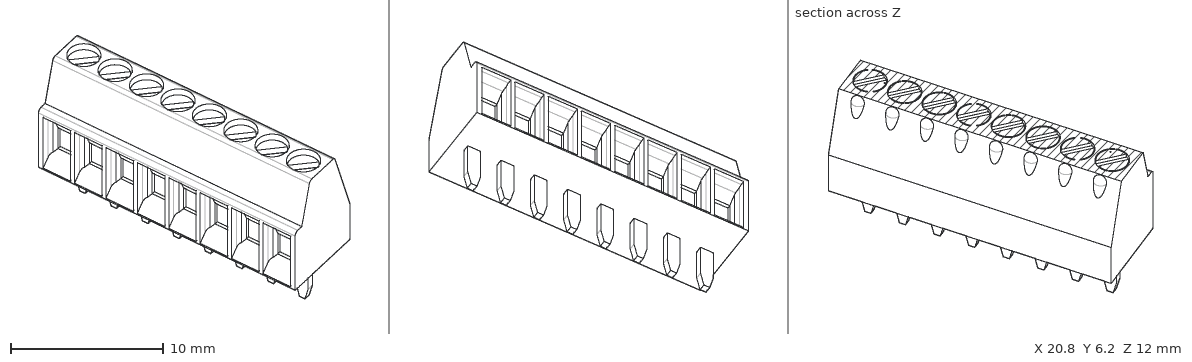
import cadquery as cq


length = 20.78
depth = 6.2
housing_height = 8.48
back_wall_height = 3.14
ledge_height = 5.1
ledge_depth = 0.75
top_front_y = 1.66
top_back_y = 4.45
edge_radius = 0.3

pole_count = 8
end_margin = 1.5
pitch = (length - 2 * end_margin) / (pole_count - 1)
pole_positions = [-length / 2 + end_margin + i * pitch for i in range(pole_count)]

entry_width = 2.22
entry_bottom = 0.12
entry_top = 4.6
side_curve_start_y = 0.56
side_curve_end_y = 0.87
side_curve_inset = 0.19
roof_curve_start_y = 0.31
roof_curve_end_y = 0.83
roof_curve_drop = 0.4
wire_hole_width = 1.43
wire_hole_bottom = 1.25
wire_hole_top = 3.08
funnel_depth = 1.12
wire_hole_depth = 0.25
entry_depth = funnel_depth + wire_hole_depth

screw_y = 3.03
bore_diameter = 2.25
screw_diameter = 2.18
screw_recess = 0.5
slot_width = 0.5
slot_depth = 0.5
slot_angle = 45

peg_y = 4.72
peg_radius = 0.5
peg_dome_center_z = 7.21
peg_foot_z = 5.2

pin_y = 3.12
pin_width = 0.98
pin_thickness = 0.5
pin_length = 3.51
pin_tip_width = 0.45
pin_taper_length = 1.0
pin_embed = 0.2


def make_housing():
    """Stepped profile with sloping upper faces, rounded along its long edges."""
    outline = [
        (0, 0),
        (depth, 0),
        (depth, back_wall_height),
        (top_back_y, housing_height),
        (top_front_y, housing_height),
        (ledge_depth, ledge_height),
        (0, ledge_height),
    ]
    rounded_corners = [
        (top_back_y, housing_height),
        (top_front_y, housing_height),
        (0, ledge_height),
    ]
    housing = cq.Workplane("YZ").polyline(outline).close().extrude(length / 2, both=True)
    for y, z in rounded_corners:
        corner_edge = cq.selectors.NearestToPointSelector((0, y, z))
        housing = housing.edges(corner_edge).fillet(edge_radius)
    return housing


def make_wire_entry():
    """Funnel and hole: the overlap of a plan-shaped and a side-shaped prism."""
    half_entry = entry_width / 2
    half_hole = wire_hole_width / 2
    plan = (
        cq.Workplane("XY")
        .lineTo(half_entry, 0)
        .lineTo(half_entry, side_curve_start_y)
        .tangentArcPoint((half_entry - side_curve_inset, side_curve_end_y), relative=False)
        .lineTo(half_hole, funnel_depth)
        .lineTo(half_hole, entry_depth)
        .lineTo(0, entry_depth)
        .mirrorY()
        .extrude(ledge_height)
    )
    side = (
        cq.Workplane("YZ")
        .moveTo(0, entry_bottom)
        .lineTo(0, entry_top)
        .lineTo(roof_curve_start_y, entry_top)
        .tangentArcPoint((roof_curve_end_y, entry_top - roof_curve_drop), relative=False)
        .lineTo(funnel_depth, wire_hole_top)
        .lineTo(entry_depth, wire_hole_top)
        .lineTo(entry_depth, wire_hole_bottom)
        .lineTo(funnel_depth, wire_hole_bottom)
        .close()
        .extrude(entry_width, both=True)
    )
    return plan.intersect(side)


def make_screw_recess():
    """Round bore down to the slot floor, with the slotted screw head left standing in it."""
    slot_floor = cq.Workplane("XY", origin=(0, screw_y, housing_height - screw_recess - slot_depth))
    bore = slot_floor.circle(bore_diameter / 2).extrude(screw_recess + slot_depth)
    head = slot_floor.circle(screw_diameter / 2).extrude(slot_depth)
    slot = (
        slot_floor.transformed(rotate=(0, 0, slot_angle))
        .rect(2 * screw_diameter, slot_width)
        .extrude(slot_depth)
    )
    return bore.cut(head.cut(slot))


def make_peg():
    """Vertical cylinder ending in a hemisphere."""
    shaft = (
        cq.Workplane("XY", origin=(0, peg_y, peg_foot_z))
        .circle(peg_radius)
        .extrude(peg_dome_center_z - peg_foot_z)
    )
    dome = cq.Workplane("XY", origin=(0, peg_y, peg_dome_center_z)).sphere(peg_radius)
    return shaft.union(dome)


def make_pin():
    """Flat pin whose two narrow sides taper towards the tip."""
    taper_z = pin_taper_length - pin_length
    return (
        cq.Workplane("XZ", origin=(0, pin_y, 0))
        .moveTo(0, pin_embed)
        .lineTo(pin_width / 2, pin_embed)
        .lineTo(pin_width / 2, taper_z)
        .lineTo(pin_tip_width / 2, -pin_length)
        .lineTo(0, -pin_length)
        .mirrorY()
        .extrude(pin_thickness / 2, both=True)
    )


wire_entry = make_wire_entry()
screw_recess_cut = make_screw_recess()
peg = make_peg()
pin = make_pin()

result = make_housing()
for x in pole_positions:
    offset = (x, 0, 0)
    result = result.union(peg.translate(offset)).union(pin.translate(offset))
    result = result.cut(wire_entry.translate(offset)).cut(screw_recess_cut.translate(offset))